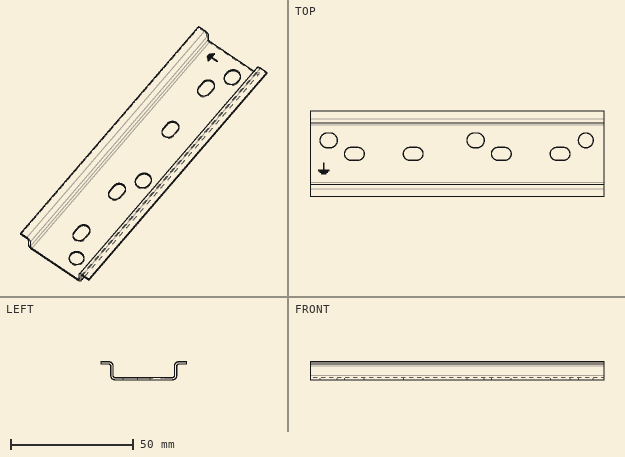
import cadquery as cq

RAIL_LENGTH = 120.0
RAIL_WIDTH = 35.0
RAIL_HEIGHT = 7.5
SHEET = 1.0
CHANNEL_WIDTH = 25.0
INNER_BEND_RADIUS = 0.8
OUTER_BEND_RADIUS = INNER_BEND_RADIUS + SHEET

MOUNTING_ROW_Y = 5.5
MOUNTING_DIAMETER = 6.0
MOUNTING_SLOT_LENGTH = 7.0
MOUNTING_SLOT_X = (-52.5, 7.5)
MOUNTING_ROUND_X = 52.5

FIXING_SLOT_LENGTH = 8.0
FIXING_SLOT_WIDTH = 5.2
FIXING_SLOT_X = (-42.0, -18.0, 18.0, 42.0)

SYMBOL_X = -54.5
SYMBOL_THICKNESS = 0.1
STEM_TOP_Y = -3.75
BAR_TOP_Y = -6.7
STROKE_WIDTH = 0.3
BAR_PITCH = 0.65
BAR_LENGTHS = (4.2, 3.0, 1.8)


def make_rail_section():
    """The closed hat profile, ready to run along X from the rail's -X end."""
    half_width = RAIL_WIDTH / 2
    inner_wall = CHANNEL_WIDTH / 2
    outer_wall = inner_wall + SHEET
    flange_underside = RAIL_HEIGHT - SHEET
    floor_bend_y = inner_wall - INNER_BEND_RADIUS
    flange_bend_y = outer_wall + INNER_BEND_RADIUS
    floor_bend_z = OUTER_BEND_RADIUS
    flange_bend_z = RAIL_HEIGHT - OUTER_BEND_RADIUS

    half = (
        cq.Workplane("YZ", origin=(-RAIL_LENGTH / 2, 0, 0))
        .moveTo(0, 0)
        .lineTo(floor_bend_y, 0)
        .radiusArc((outer_wall, floor_bend_z), -OUTER_BEND_RADIUS)
        .lineTo(outer_wall, flange_bend_z)
        .radiusArc((flange_bend_y, flange_underside), INNER_BEND_RADIUS)
        .lineTo(half_width, flange_underside)
        .lineTo(half_width, RAIL_HEIGHT)
        .lineTo(flange_bend_y, RAIL_HEIGHT)
        .radiusArc((inner_wall, flange_bend_z), -OUTER_BEND_RADIUS)
        .lineTo(inner_wall, floor_bend_z)
        .radiusArc((floor_bend_y, SHEET), INNER_BEND_RADIUS)
        .lineTo(0, SHEET)
    )
    return half.mirrorY()


def make_slot_cutters(x_places, y, length, width):
    return (
        cq.Workplane("XY")
        .pushPoints([(x, y) for x in x_places])
        .slot2D(length, width)
        .extrude(SHEET)
    )


def make_rail():
    mounting_slots = make_slot_cutters(
        MOUNTING_SLOT_X, MOUNTING_ROW_Y, MOUNTING_SLOT_LENGTH, MOUNTING_DIAMETER
    )
    fixing_slots = make_slot_cutters(FIXING_SLOT_X, 0, FIXING_SLOT_LENGTH, FIXING_SLOT_WIDTH)
    round_hole = (
        cq.Workplane("XY")
        .center(MOUNTING_ROUND_X, MOUNTING_ROW_Y)
        .circle(MOUNTING_DIAMETER / 2)
        .extrude(SHEET)
    )
    return (
        make_rail_section()
        .extrude(RAIL_LENGTH)
        .cut(mounting_slots)
        .cut(round_hole)
        .cut(fixing_slots)
    )


def make_raised_strip(size_x, size_y, top_y):
    """A thin strip on the channel floor, centred on the symbol, hanging from top_y."""
    return (
        cq.Workplane("XY", origin=(SYMBOL_X, top_y - size_y / 2, SHEET))
        .rect(size_x, size_y)
        .extrude(SYMBOL_THICKNESS)
    )


def make_stem_and_bar():
    stem = make_raised_strip(STROKE_WIDTH, STEM_TOP_Y - BAR_TOP_Y, STEM_TOP_Y)
    return make_raised_strip(BAR_LENGTHS[0], STROKE_WIDTH, BAR_TOP_Y).union(stem)


def make_lower_bars():
    return [
        make_raised_strip(length, STROKE_WIDTH, BAR_TOP_Y - step * BAR_PITCH)
        for step, length in enumerate(BAR_LENGTHS[1:], start=1)
    ]


rail = make_rail()
stem_and_bar = make_stem_and_bar()
lower_bars = make_lower_bars()

result = cq.Compound.makeCompound(
    [rail.val(), stem_and_bar.val(), *[bar.val() for bar in lower_bars]]
)